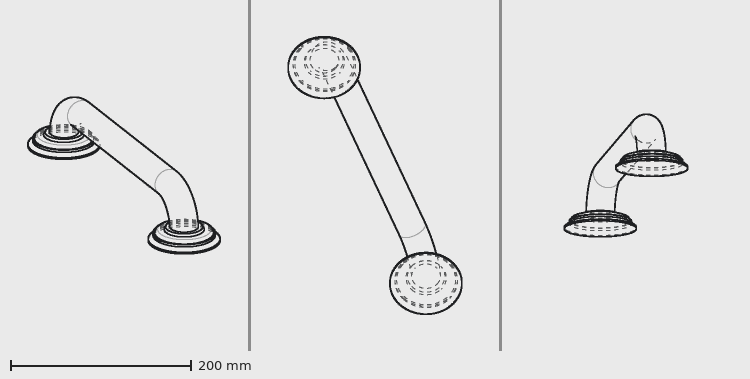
import cadquery as cq

length = 385.0
height = 69.5

tube_diameter = 32.0
bend_radius = 41.5

base_radius = 40.0
rim_height = 2.0
cone_top_radius = 34.5
cone_top_height = 6.0
ledge_height = 9.0
tier_bottom_radius = 32.7
tier_top_radius = 29.5
tier_height = 13.0
tier_bulge = 0.8
collar_bottom_radius = 22.5
collar_top_radius = 20.8
collar_height = 16.0

foot_x = length / 2 - base_radius
axis_height = height - tube_diameter / 2
straight_end_x = foot_x - bend_radius
bend_start_height = axis_height - bend_radius


def make_flange(center_x):
    """Revolve the conical base, rounded tier and small collar about a vertical axis."""
    tier_middle = (
        (tier_bottom_radius + tier_top_radius) / 2 + tier_bulge,
        (ledge_height + tier_height) / 2 + tier_bulge,
    )
    profile = (
        cq.Workplane("XZ")
        .moveTo(0, 0)
        .lineTo(base_radius, 0)
        .lineTo(base_radius, rim_height)
        .lineTo(cone_top_radius, cone_top_height)
        .lineTo(cone_top_radius, ledge_height)
        .lineTo(tier_bottom_radius, ledge_height)
        .threePointArc(tier_middle, (tier_top_radius, tier_height))
        .lineTo(collar_bottom_radius, tier_height)
        .lineTo(collar_top_radius, collar_height)
        .lineTo(0, collar_height)
        .close()
    )
    return profile.revolve(360, (0, 0, 0), (0, 1, 0)).translate((center_x, 0, 0))


def make_tube():
    """Sweep a round bar up from one foot, across the span and down to the other."""
    path = (
        cq.Workplane("XZ")
        .moveTo(-foot_x, 0)
        .lineTo(-foot_x, bend_start_height)
        .tangentArcPoint((-straight_end_x, axis_height), relative=False)
        .lineTo(straight_end_x, axis_height)
        .tangentArcPoint((foot_x, bend_start_height), relative=False)
        .lineTo(foot_x, 0)
    )
    section = cq.Workplane("XY").center(-foot_x, 0).circle(tube_diameter / 2)
    return section.sweep(path)


result = make_tube()
for side in (-1, 1):
    result = result.union(make_flange(side * foot_x))